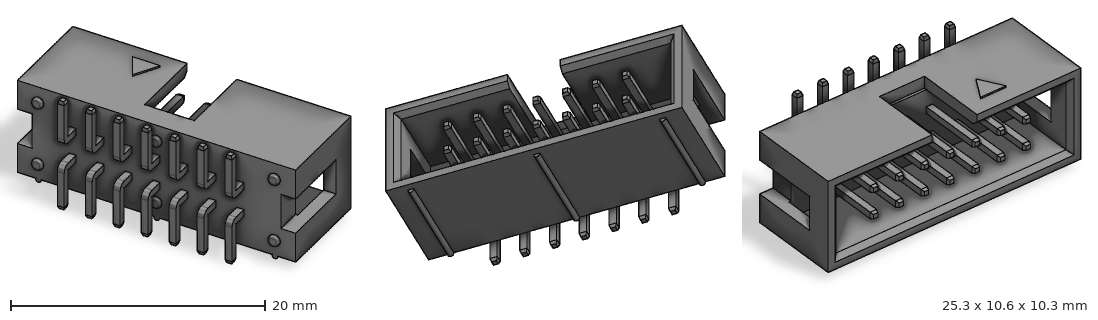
import cadquery as cq
import math


length = 25.28
depth = 8.75
height = 8.75
wall = 1.15
cavity_depth = 6.45
mouth_chamfer = 0.45
key_width = 4.5
key_depth = 6.7

notch_reach = 1.35
notch_height = 3.25
notch_to_mouth = 2.38

columns = 7
row_length = 15.25
pitch = row_length / (columns - 1)
pin_width = 0.63
pin_to_mouth = 0.33
tail_reach = 1.87
tail_span = 10.3
tip_length = 0.3
tip_inset = 0.1

standoff_radius = 0.5
standoff_height = 0.33
standoff_rounding = 0.2
standoff_to_end = 1.9
standoff_to_side = 1.47

rib_radius = 0.25
rib_height = 0.3
rib_to_mouth = 0.6

mark_side = pitch
mark_thickness = 0.15
mark_to_mouth = 1.55
mark_x = -2 * pitch

standoff_x = length / 2 - standoff_to_end
standoff_z = height / 2 - standoff_to_side
support_columns = (-standoff_x, 0, standoff_x)


def block(x_size, y_start, y_end, z_size):
    """Box centred on X and Z, between two Y positions."""
    return cq.Workplane("XY").box(x_size, y_end - y_start, z_size).translate((0, (y_start + y_end) / 2, 0))


def make_cavity():
    """Mating cavity with a bevelled mouth."""
    cavity_x = length - 2 * wall
    cavity_z = height - 2 * wall
    cavity = block(cavity_x, depth - cavity_depth, depth, cavity_z)
    bevel = (
        cq.Workplane("XZ", origin=(0, depth - mouth_chamfer, 0))
        .rect(cavity_x, cavity_z)
        .workplane(offset=-mouth_chamfer)
        .rect(cavity_x + 2 * mouth_chamfer, cavity_z + 2 * mouth_chamfer)
        .loft(ruled=True)
    )
    return cavity.union(bevel)


def make_housing():
    """Shroud with its cavity, polarising key slot and end notches."""
    housing = block(length, 0, depth, height).cut(make_cavity())
    key_slot = block(key_width, depth - key_depth, depth, wall)
    housing = housing.cut(key_slot.translate((0, 0, (height - wall) / 2)))
    notch = block(2 * notch_reach, 0, depth - notch_to_mouth, notch_height)
    for end in (-1, 1):
        housing = housing.cut(notch.translate((end * length / 2, 0, 0)))
    return housing


def make_tip():
    """Tapered pin tip, starting at the origin and pointing along +Z."""
    tip_width = pin_width - 2 * tip_inset
    return (
        cq.Workplane("XY")
        .rect(pin_width, pin_width)
        .workplane(offset=tip_length)
        .rect(tip_width, tip_width)
        .loft(ruled=True)
    )


def make_pin():
    """Upper-row pin at x = 0, bent upwards behind the housing."""
    low = (pitch - pin_width) / 2
    high = low + pin_width
    inner_y = pin_width - tail_reach
    contact_end = depth - pin_to_mouth - tip_length
    tail_end = tail_span / 2 - tip_length
    bend_mid = pin_width * math.sqrt(0.5)
    bar = (
        cq.Workplane("YZ", origin=(-pin_width / 2, 0, 0))
        .moveTo(contact_end, low)
        .lineTo(inner_y, low)
        .threePointArc((inner_y - bend_mid, high - bend_mid), (-tail_reach, high))
        .lineTo(-tail_reach, tail_end)
        .lineTo(inner_y, tail_end)
        .lineTo(inner_y, high)
        .lineTo(contact_end, high)
        .close()
        .extrude(pin_width)
    )
    tail_tip = make_tip().translate((0, inner_y - pin_width / 2, tail_end))
    contact_tip = make_tip().rotate((0, 0, 0), (1, 0, 0), -90).translate((0, contact_end, pitch / 2))
    return bar.union(tail_tip).union(contact_tip)


def make_standoff():
    """Round pad with a rounded rim, standing on the mounting face and rooted in the housing."""
    return (
        cq.Workplane("XZ", origin=(0, wall / 2, 0))
        .circle(standoff_radius)
        .extrude(wall / 2 + standoff_height)
        .faces("<Y")
        .edges()
        .fillet(standoff_rounding)
    )


def make_rib():
    """Straight-sided rib with a half-round crest along the underside, rooted in the bottom wall."""
    root_z = (wall - height) / 2
    shoulder_z = -height / 2 - rib_height + rib_radius
    return (
        cq.Workplane("XZ")
        .moveTo(-rib_radius, root_z)
        .lineTo(-rib_radius, shoulder_z)
        .threePointArc((0, shoulder_z - rib_radius), (rib_radius, shoulder_z))
        .lineTo(rib_radius, root_z)
        .close()
        .extrude(-(depth - rib_to_mouth))
    )


def make_mark():
    """Raised equilateral triangle pointing away from the mouth."""
    base_y = depth - mark_to_mouth
    apex_y = base_y - mark_side * math.sqrt(0.75)
    return (
        cq.Workplane("XY", origin=(mark_x, 0, height / 2))
        .polyline([(-mark_side / 2, base_y), (mark_side / 2, base_y), (0, apex_y)])
        .close()
        .extrude(mark_thickness)
    )


result = make_housing().union(make_mark())

for x in support_columns:
    result = result.union(make_rib().translate((x, 0, 0)))
    for z in (-standoff_z, standoff_z):
        result = result.union(make_standoff().translate((x, 0, z)))

upper_pin = make_pin()
lower_pin = upper_pin.mirror("XY")
for column in range(columns):
    x = column * pitch - row_length / 2
    result = result.union(upper_pin.translate((x, 0, 0)))
    result = result.union(lower_pin.translate((x, 0, 0)))